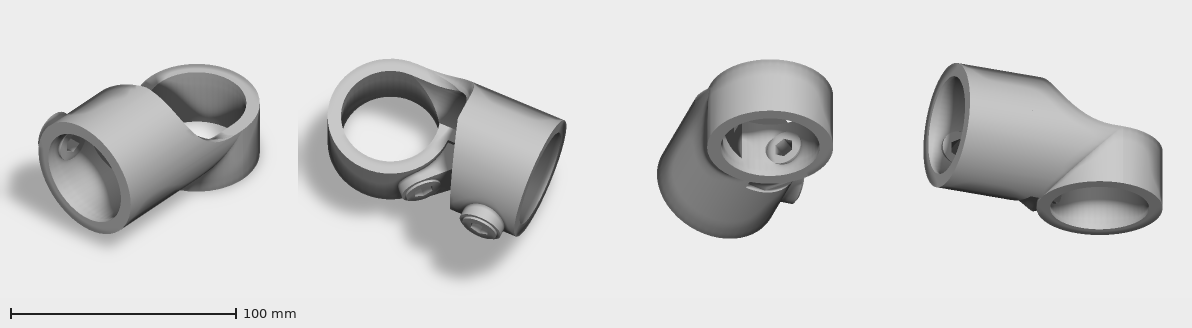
import cadquery as cq
import math

outer_radius = 28.0
bore_radius = 22.0
wall = outer_radius - bore_radius
tube_axis_z = outer_radius
ring_height = outer_radius
tube_front_y = -73.0

back_y = -32.8
slant_drop = 8.9
slant_slope = slant_drop / outer_radius
slant_thickness = wall * math.hypot(1, slant_slope)
scoop_radius = outer_radius
scoop_axis_y = back_y + scoop_radius
wall_edge_rise = 0.8

relief_radius = 8.6
relief_offset = 23
relief_start = -6
relief_length = 30.3

boss_radius = 10.0
boss_reach = 32.4
screw_radius = 8.3
screw_tip = 20.5
screw_head = 33.5
socket_flats = 8.3
tube_screw_y = -58.5
ring_screw_z = ring_height / 2
ring_screw_offset = 3.2
ring_boss_length = 26.3
ring_boss_flare = 1.9

clearance = 10.1

tube_screw_plane = cq.Plane(origin=(0, tube_screw_y, tube_axis_z), xDir=(0, -1, 0), normal=(-1, 0, 0))
diagonal = math.sqrt(0.51)
ring_screw_plane = cq.Plane(
    origin=(ring_screw_offset * diagonal, -ring_screw_offset * diagonal, ring_screw_z),
    xDir=(1, -1, 0),
    normal=(-1, -1, 0),
)


def cylinder_along_y(radius, y_start, y_end):
    """Cylinder on the tube axis."""
    plane = cq.Workplane("XZ", origin=(0, y_start, tube_axis_z))
    return plane.circle(radius).extrude(y_start - y_end)


def slanted_y(x, start_y):
    """Y of a line parallel to the slanted end that crosses X = 0 at start_y."""
    return start_y + slant_slope * x


def plan_prism(points):
    """Prism taller than the housing, with the given XY outline."""
    return cq.Workplane("XY").polyline(points).close().extrude(2 * outer_radius)


def make_relief():
    """Groove whose round side faces the tube and whose flat floor runs out over the ring."""
    plane = cq.Plane(
        origin=(
            (relief_offset + relief_start) * diagonal,
            (relief_start - relief_offset) * diagonal,
            ring_height + relief_radius,
        ),
        xDir=(1, -1, 0),
        normal=(1, 1, 0),
    )
    groove = cq.Workplane(plane).circle(relief_radius).extrude(relief_length)
    run_out = cq.Workplane(plane).center(-relief_radius / 2, 0).rect(relief_radius, 2 * relief_radius)
    return groove.union(run_out.extrude(relief_length))


def make_tube():
    """Outer tube with a slanted end on the -X side and a scooped end on the +X side."""
    tube = cylinder_along_y(outer_radius, tube_front_y, 0)
    left = -outer_radius - clearance
    beyond_slant = plan_prism([(left, slanted_y(left, back_y)), (0, back_y), (0, clearance), (left, clearance)])
    scoop = (
        cq.Workplane("YZ", origin=(0, scoop_axis_y, 2 * outer_radius))
        .circle(scoop_radius)
        .extrude(outer_radius)
    )
    over_wall = plan_prism(
        [(0, back_y), (wall, back_y + wall_edge_rise), (wall, clearance), (0, clearance)]
    ).translate((0, 0, ring_height))
    above_ring = cq.Workplane("XY").box(
        outer_radius, -scoop_axis_y, outer_radius, centered=False
    ).translate((0, scoop_axis_y, ring_height))
    for cutter in (beyond_slant, scoop, over_wall, above_ring, make_relief()):
        tube = tube.cut(cutter)
    return tube


def make_tube_bore():
    """Tube bore, closed by the slanted end wall up to X = wall and open into the ring beyond it."""
    bore = cylinder_along_y(bore_radius, tube_front_y, 0)
    left = -outer_radius - clearance
    inner_y = back_y - slant_thickness
    end_wall = plan_prism(
        [(left, slanted_y(left, inner_y)), (wall, slanted_y(wall, inner_y)), (wall, clearance), (left, clearance)]
    )
    return bore.cut(end_wall)


def make_ring_boss():
    """Round-ended boss that flares from the ring screw into the slanted end of the tube."""
    end_half_height = boss_radius + ring_boss_flare
    boss = (
        cq.Workplane(ring_screw_plane)
        .moveTo(0, boss_radius)
        .threePointArc((-boss_radius, 0), (0, -boss_radius))
        .lineTo(ring_boss_length, -end_half_height)
        .lineTo(ring_boss_length, end_half_height)
        .close()
        .extrude(boss_reach)
    )
    left = -2 * outer_radius
    corner = plan_prism([(left, slanted_y(left, back_y)), (0, back_y), (0, 0), (left, 0)])
    return boss.intersect(corner)


def screw_hole(plane):
    return cq.Workplane(plane).circle(screw_radius).extrude(boss_reach + clearance)


def make_housing():
    ring = cq.Workplane("XY").circle(outer_radius).extrude(ring_height)
    ring_bore = cq.Workplane("XY").circle(bore_radius).extrude(ring_height)
    tube_boss = cq.Workplane(tube_screw_plane).circle(boss_radius).extrude(boss_reach)
    housing = make_tube().union(ring).union(tube_boss).union(make_ring_boss())
    housing = housing.cut(make_tube_bore()).cut(ring_bore)
    for plane in (tube_screw_plane, ring_screw_plane):
        housing = housing.cut(screw_hole(plane))
    return housing


def make_screw(plane):
    """Headless screw with a hexagon socket right through it, corners up and down."""
    socket_corners = socket_flats / math.cos(math.pi / 6)
    blank = cq.Workplane(plane).workplane(offset=screw_tip)
    length = screw_head - screw_tip
    screw = blank.circle(screw_radius).extrude(length)
    socket = blank.transformed(rotate=(0, 0, 90)).polygon(6, socket_corners).extrude(length)
    return screw.cut(socket)


housing = make_housing()
screws = [make_screw(plane) for plane in (tube_screw_plane, ring_screw_plane)]
result = cq.Compound.makeCompound([housing.val(), *[screw.val() for screw in screws]])